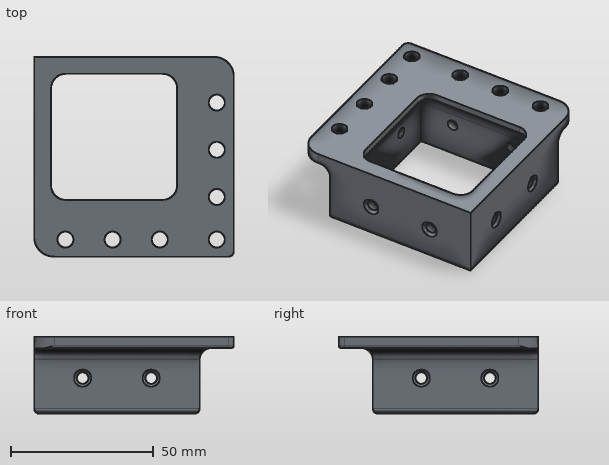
import cadquery as cq

plate_size = 70.0
height = 27.0
body_size = 58.0
flange_thickness = 4.0
flange_fillet = 4.0
flange_edge_round = 1.0
bottom_round = 2.0

large_corner_radius = 7.0
small_corner_radius = 2.0

wall = 4.0
undercut_radius = 8.0
plain_wall_arc_start = 19.6
flange_wall_arc_start = 17.35
opening_size = 44.0
opening_margin = 6.0
opening_corner_radius = 5.0

flange_hole_diameter = 5.5
flange_hole_edge = 6.0
front_row_start = 11.0
side_row_start = 16.0
flange_hole_pitch = 16.5
flange_holes_per_row = 3

wall_hole_diameter = 4.0
countersink_diameter = 6.0
wall_hole_height = 12.5
wall_hole_spacing = 24.0

body_center = (body_size / 2, plate_size - body_size / 2)
flange_bottom = height - flange_thickness

FRONT_PLANE = cq.Plane((0, 0, 0), (1, 0, 0), (0, -1, 0))
SIDE_PLANE = cq.Plane((0, plate_size, 0), (0, -1, 0), (-1, 0, 0))


def side_profile(plane):
    """Extrude the L-shaped side outline, flange included, from the given plane."""
    return (
        cq.Workplane(plane)
        .moveTo(0, height)
        .lineTo(plate_size, height)
        .lineTo(plate_size, flange_bottom)
        .lineTo(body_size + flange_fillet, flange_bottom)
        .radiusArc((body_size, flange_bottom - flange_fillet), -flange_fillet)
        .lineTo(body_size, bottom_round)
        .radiusArc((body_size - bottom_round, 0), bottom_round)
        .lineTo(bottom_round, 0)
        .radiusArc((0, bottom_round), bottom_round)
        .close()
        .extrude(-plate_size)
    )


def make_outer_solid():
    """Intersect the two side outlines, then finish the plate's corners and lower edge."""
    along_y = side_profile(FRONT_PLANE)
    along_x = side_profile(SIDE_PLANE)
    solid = along_y.intersect(along_x)
    solid = solid.faces(">X").edges("|Z and <Y").fillet(small_corner_radius)
    solid = solid.faces("<Y").edges("<Z").fillet(flange_edge_round)
    large_corners = (
        cq.Workplane("XY")
        .rect(plate_size, plate_size, centered=False)
        .extrude(height)
        .edges("(|Z and <X and <Y) or (|Z and >X and >Y)")
        .fillet(large_corner_radius)
    )
    return solid.intersect(large_corners)


def cavity_profile(plane):
    """Extrude the cavity outline: straight walls that curve inward under the top plate."""
    inner_far = body_size - wall
    plain_crown = plain_wall_arc_start + undercut_radius
    flange_crown = flange_wall_arc_start + undercut_radius
    return (
        cq.Workplane(plane)
        .moveTo(wall, 0)
        .lineTo(wall, plain_wall_arc_start)
        .radiusArc((wall + undercut_radius, plain_crown), undercut_radius)
        .lineTo(inner_far - undercut_radius, flange_crown)
        .radiusArc((inner_far, flange_wall_arc_start), undercut_radius)
        .lineTo(inner_far, 0)
        .close()
        .extrude(-plate_size)
    )


def make_cavity():
    """Square-cornered cavity, open below, with mitred undercut arcs below the window."""
    return cavity_profile(FRONT_PLANE).intersect(cavity_profile(SIDE_PLANE))


def make_opening():
    """Rounded window through the top plate, set from the -X and +Y faces."""
    center_offset = opening_margin + opening_size / 2
    return (
        cq.Workplane("XY")
        .center(center_offset, plate_size - center_offset)
        .rect(opening_size, opening_size)
        .extrude(height)
        .edges("|Z")
        .fillet(opening_corner_radius)
    )


def make_flange_holes():
    """A row of holes along each flange and one where the flanges meet."""
    far_edge = plate_size - flange_hole_edge
    points = [(far_edge, flange_hole_edge)]
    for index in range(flange_holes_per_row):
        row_offset = index * flange_hole_pitch
        points.append((front_row_start + row_offset, flange_hole_edge))
        points.append((far_edge, plate_size - side_row_start - row_offset))
    return cq.Workplane("XY").pushPoints(points).circle(flange_hole_diameter / 2).extrude(height)


def make_wall_hole():
    """Hole along X through both opposite walls, countersunk at each outer face."""
    radius = wall_hole_diameter / 2
    outer_radius = countersink_diameter / 2
    depth = outer_radius - radius
    return (
        cq.Workplane("XY")
        .moveTo(0, 0)
        .lineTo(0, outer_radius)
        .lineTo(depth, radius)
        .lineTo(body_size - depth, radius)
        .lineTo(body_size, outer_radius)
        .lineTo(body_size, 0)
        .close()
        .revolve(360, (0, 0, 0), (1, 0, 0))
        .translate((-body_size / 2, 0, wall_hole_height))
    )


result = make_outer_solid().cut(make_cavity()).cut(make_opening()).cut(make_flange_holes())
for turn in (0, 90):
    for offset in (-wall_hole_spacing / 2, wall_hole_spacing / 2):
        hole = make_wall_hole().translate((0, offset, 0)).rotate((0, 0, 0), (0, 0, 1), turn)
        result = result.cut(hole.translate((*body_center, 0)))